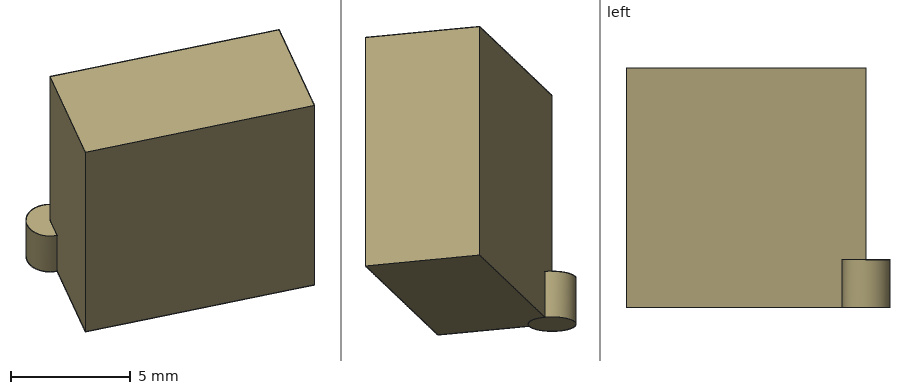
import cadquery as cq

block_width = 4.99
block_length = 10.0
block_height = 10.0
pin_diameter = 2.0
pin_height = pin_diameter


def make_pin():
    """Upright round pin, centred on the block's vertical corner edge at the origin."""
    return cq.Workplane("XY").circle(pin_diameter / 2).extrude(pin_height)


def make_block(pin):
    """Rectangular block with one corner at the origin, recessed there to seat the pin."""
    block = cq.Workplane("XY").box(block_width, block_length, block_height, centered=False)
    return block.cut(pin)


pin = make_pin()
block = make_block(pin)

result = cq.Compound.makeCompound([block.val(), pin.val()])